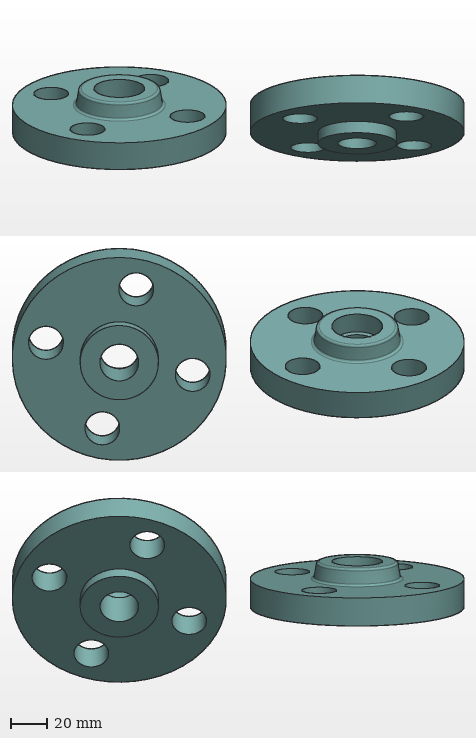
import cadquery as cq
import math

flange_diameter = 117.3
flange_thickness = 15.7

face_diameter = 42.9
face_height = 6.5

hub_height = 9.6
hub_base_diameter = 47.7
hub_draft_angle = 10
hub_base_fillet = 1.5
hub_top_fillet = 1.5

bore_diameter = 21.1
socket_diameter = 27.7
socket_depth = 11.0

bolt_hole_count = 4
bolt_hole_diameter = 19.0
bolt_circle_diameter = 82.5

flange_bottom = face_height
flange_top = flange_bottom + flange_thickness
hub_top = flange_top + hub_height
hub_top_diameter = hub_base_diameter - 2 * hub_height * math.tan(math.radians(hub_draft_angle))


def make_body():
    """Revolve the solid profile of raised face, disc and hub about Z."""
    profile = (
        cq.Workplane("XZ")
        .lineTo(face_diameter / 2, 0)
        .lineTo(face_diameter / 2, flange_bottom)
        .lineTo(flange_diameter / 2, flange_bottom)
        .lineTo(flange_diameter / 2, flange_top)
        .lineTo(hub_base_diameter / 2, flange_top)
        .lineTo(hub_top_diameter / 2, hub_top)
        .lineTo(0, hub_top)
        .close()
    )
    return profile.revolve(360, (0, 0, 0), (0, 1, 0))


def round_hub(body):
    """Round the rim of the hub and blend its foot into the disc."""
    blended = body.faces("%CONE").edges("<Z").fillet(hub_base_fillet)
    return blended.faces(">Z").edges().fillet(hub_top_fillet)


def cut_bore(body):
    """Cut the stepped bore down from the top of the hub."""
    hub_face = body.faces(">Z").workplane(origin=(0, 0, hub_top))
    return hub_face.cboreHole(bore_diameter, socket_diameter, socket_depth)


def cut_bolt_holes(body):
    """Drill the ring of bolt holes, starting on the X axis."""
    holes = (
        cq.Workplane("XY")
        .workplane(offset=flange_bottom)
        .polarArray(bolt_circle_diameter / 2, 0, 360, bolt_hole_count)
        .circle(bolt_hole_diameter / 2)
        .extrude(flange_thickness)
    )
    return body.cut(holes)


body = make_body()
body = round_hub(body)
body = cut_bore(body)
result = cut_bolt_holes(body)